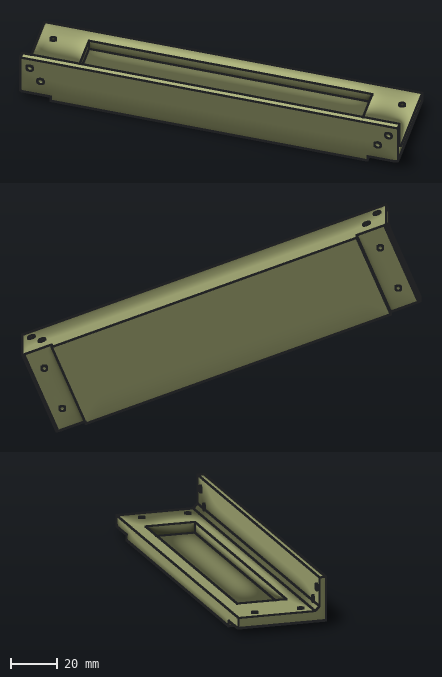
import cadquery as cq

LENGTH = 170.0
DEPTH = 40.0
HEIGHT = 22.5

WALL_THICKNESS = 3.0
PLATE_THICKNESS = 5.0
INNER_CHAMFER = 2.0

END_CHAMFER_HEIGHT = 0.5
END_CHAMFER_LENGTH = 0.85

PAD_LENGTH = 142.5
PAD_HEIGHT = 2.5

POCKET_LENGTH = 127.5
POCKET_WIDTH = 22.5
POCKET_BACK_MARGIN = 6.5
POCKET_OFFSET_X = 0.5
POCKET_DEPTH = 4.8

PLATE_HOLE_DIAMETER = 2.5
PLATE_HOLE_END_MARGIN = 6.5
PLATE_HOLE_SPACING_Y = 21.0
PLATE_HOLE_BACK_MARGIN = 9.5

WALL_HOLE_DIAMETER = 3.0
WALL_HOLE_OFFSETS = [(4.25, 5.4), (9.15, 12.1)]

FRONT_Y = -DEPTH / 2
BACK_Y = DEPTH / 2
PLATE_TOP_Z = PAD_HEIGHT + PLATE_THICKNESS


def make_angle():
    """L-shaped bar: a flat plate with an upright front wall and chamfered lower end edges."""
    inner_y = FRONT_Y + WALL_THICKNESS
    section = (
        cq.Workplane("YZ", origin=(-LENGTH / 2, 0, 0))
        .moveTo(FRONT_Y, PAD_HEIGHT)
        .lineTo(BACK_Y, PAD_HEIGHT)
        .lineTo(BACK_Y, PLATE_TOP_Z)
        .lineTo(inner_y + INNER_CHAMFER, PLATE_TOP_Z)
        .lineTo(inner_y, PLATE_TOP_Z + INNER_CHAMFER)
        .lineTo(inner_y, HEIGHT)
        .lineTo(FRONT_Y, HEIGHT)
        .close()
    )
    bar = section.extrude(LENGTH)
    lower_end_edges = bar.faces("<Z").edges("|Y")
    return lower_end_edges.chamfer(END_CHAMFER_LENGTH, END_CHAMFER_HEIGHT)


def make_pad():
    """Full-depth pad under the plate, shorter than the plate at both ends."""
    return cq.Workplane("XY").box(PAD_LENGTH, DEPTH, PAD_HEIGHT, centered=(True, True, False))


def make_pocket():
    """Cutter for the rectangular pocket, open at the top of the plate."""
    center_y = BACK_Y - POCKET_BACK_MARGIN - POCKET_WIDTH / 2
    return (
        cq.Workplane("XY", origin=(POCKET_OFFSET_X, center_y, PLATE_TOP_Z))
        .rect(POCKET_LENGTH, POCKET_WIDTH)
        .extrude(-POCKET_DEPTH)
    )


def make_plate_holes():
    """Cutter for the four vertical holes near the plate ends."""
    center_y = BACK_Y - PLATE_HOLE_BACK_MARGIN - PLATE_HOLE_SPACING_Y / 2
    spacing_x = LENGTH - 2 * PLATE_HOLE_END_MARGIN
    return (
        cq.Workplane("XY", origin=(0, center_y, 0))
        .rect(spacing_x, PLATE_HOLE_SPACING_Y, forConstruction=True)
        .vertices()
        .circle(PLATE_HOLE_DIAMETER / 2)
        .extrude(PLATE_TOP_Z)
    )


def make_wall_holes():
    """Cutter for the mirrored pairs of holes through the upright wall."""
    centers = []
    for end_distance, top_distance in WALL_HOLE_OFFSETS:
        for side in (-1, 1):
            centers.append((side * (LENGTH / 2 - end_distance), HEIGHT - top_distance))
    return (
        cq.Workplane("XZ", origin=(0, FRONT_Y, 0))
        .pushPoints(centers)
        .circle(WALL_HOLE_DIAMETER / 2)
        .extrude(-WALL_THICKNESS)
    )


result = (
    make_angle()
    .union(make_pad())
    .cut(make_pocket())
    .cut(make_plate_holes())
    .cut(make_wall_holes())
)